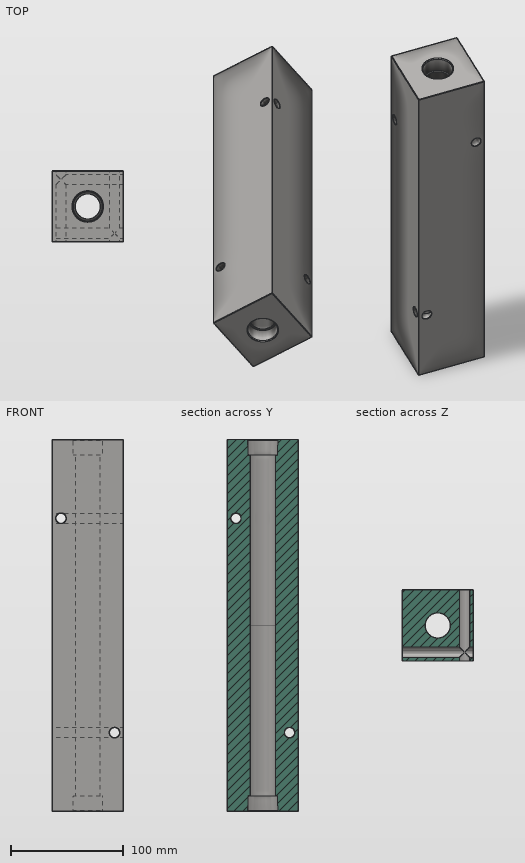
import cadquery as cq

side = 63.5
length = 330.2
edge_chamfer = 0.5

bore_diameter = 22.0
port_outer_diameter = 26.5
port_floor_diameter = 25.8
port_depth = 14.0
mouth_diameter = 28.0

cross_hole_diameter = 9.0
cross_hole_chamfer = 0.3
cross_hole_offset = 23.8
cross_hole_height = 95.0


def chamfered_bar():
    """Square bar with all twelve edges broken."""
    return cq.Workplane("XY").box(side, side, length).edges().chamfer(edge_chamfer)


def bore_tool():
    """Solid of revolution that removes the axial bore and both end ports."""
    bore_radius = bore_diameter / 2
    port_radius = port_outer_diameter / 2
    floor_radius = port_floor_diameter / 2
    mouth_radius = mouth_diameter / 2
    end = length / 2
    floor = end - port_depth
    countersink_base = end - (mouth_radius - port_radius)
    upper_half = (
        cq.Workplane("XZ")
        .lineTo(bore_radius, 0)
        .lineTo(bore_radius, floor)
        .lineTo(floor_radius, floor)
        .lineTo(port_radius, countersink_base)
        .lineTo(mouth_radius, end)
        .lineTo(0, end)
        .close()
        .revolve(360, (0, 0, 0), (0, 1, 0))
    )
    return upper_half.union(upper_half.mirror("XY"))


def cross_hole_tool(plane, upper_offset):
    """Pair of countersunk pins through the bar along the normal of the given plane."""
    radius = cross_hole_diameter / 2
    mouth_radius = radius + cross_hole_chamfer
    half_side = side / 2
    half_pin = (
        cq.Workplane("XY")
        .circle(radius)
        .extrude(half_side)
        .faces(">Z")
        .workplane(offset=-cross_hole_chamfer)
        .circle(radius)
        .workplane(offset=cross_hole_chamfer)
        .circle(mouth_radius)
        .loft(combine=True)
    )
    pin = half_pin.union(half_pin.mirror("XY")).val()
    centers = [(upper_offset, cross_hole_height), (-upper_offset, -cross_hole_height)]
    return (
        cq.Workplane(plane)
        .pushPoints(centers)
        .eachpoint(pin, useLocalCoordinates=True, combine=False)
        .combine()
    )


holes_along_y = cross_hole_tool("XZ", -cross_hole_offset)
holes_along_x = cross_hole_tool("YZ", cross_hole_offset)

result = chamfered_bar().cut(bore_tool()).cut(holes_along_y).cut(holes_along_x)